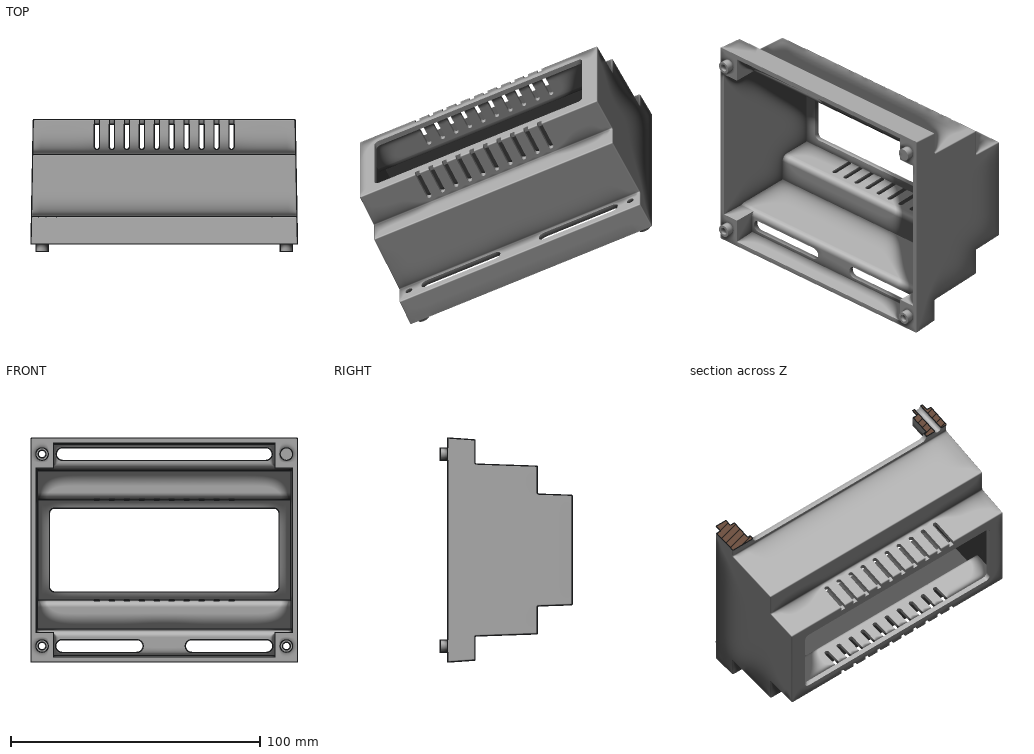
import cadquery as cq
import math

rim_length = 107.0
rim_height = 90.0
wall = 2.0

flange_depth = 11.0
shoulder_depth = 36.0
body_depth = 50.0

flange_half_height = rim_height / 2
shoulder_half_height = 34.55
crown_half_height = 22.5
flange_taper = 4.0
step_taper = 2.0
end_taper = 1.05

edge_radius = 0.5
inner_step_radius = edge_radius + wall

window_length = 92.0
window_height = 33.5
window_radius = 2.0

slot_z = 38.5
slot_width = 5.0
long_slot_length = 86.5
short_slot_length = 35.0
short_slot_x = 26.0

block_inner_x = 44.5
block_inner_z = 33.0
post_x = 49.0
post_z = slot_z
post_diameter = 5.0
post_height = 3.0
post_hole_diameter = 3.0

vent_count = 10
vent_pitch = 6.0
vent_width = 2.0
vent_end_depth = 38.0


def narrowing(taper, length):
    """Amount a wall moves inwards over a length at a given taper."""
    return length * math.tan(math.radians(taper))


def stepped_body(inset):
    """Tapered, stepped solid whose faces are moved inwards by inset."""
    flange_y = flange_depth - inset
    shoulder_y = shoulder_depth - inset
    back_y = body_depth - inset
    flange_z = flange_half_height - inset
    shoulder_z = shoulder_half_height - inset
    crown_z = crown_half_height - inset
    upper_outline = [
        (0, flange_z),
        (flange_y, flange_z - narrowing(flange_taper, flange_y)),
        (flange_y, shoulder_z),
        (shoulder_y, shoulder_z - narrowing(step_taper, shoulder_y - flange_y)),
        (shoulder_y, crown_z),
        (back_y, crown_z - narrowing(step_taper, back_y - shoulder_y)),
    ]
    lower_outline = [(y, -z) for y, z in reversed(upper_outline)]
    steps = (
        cq.Workplane("YZ")
        .polyline(upper_outline + lower_outline)
        .close()
        .extrude(rim_length / 2, both=True)
    )
    rim_x = rim_length / 2 - inset
    back_x = rim_x - narrowing(end_taper, back_y)
    ends = (
        cq.Workplane("XY")
        .polyline([(-rim_x, 0), (rim_x, 0), (back_x, back_y), (-back_x, back_y)])
        .close()
        .extrude(rim_height / 2, both=True)
    )
    return steps.intersect(ends)


def edges_near(body, y, z):
    """Lengthwise edges of body at depth y and at heights +z and -z."""
    reach = edge_radius / 2

    def box_around(height):
        low_corner = (-rim_length, y - reach, height - reach)
        high_corner = (rim_length, y + reach, height + reach)
        return cq.selectors.BoxSelector(low_corner, high_corner)

    return body.edges("|X").edges(box_around(z) + box_around(-z))


def make_outer():
    outer = stepped_body(0)
    return outer.edges("not(<Y)").fillet(edge_radius)


def make_cavity():
    cavity = stepped_body(wall)
    cavity = edges_near(cavity, flange_depth - wall, shoulder_half_height - wall).fillet(inner_step_radius)
    return edges_near(cavity, shoulder_depth - wall, crown_half_height - wall).fillet(inner_step_radius)


def corner_blocks():
    """Material kept solid in the four corners of the flange."""
    size_x = rim_length / 2 - block_inner_x
    size_z = rim_height / 2 - block_inner_z
    blocks = cq.Workplane("XY")
    for side_x in (-1, 1):
        for side_z in (-1, 1):
            center_x = side_x * (block_inner_x + size_x / 2)
            center_z = side_z * (block_inner_z + size_z / 2)
            block = cq.Workplane("XY").box(size_x, flange_depth, size_z)
            blocks = blocks.add(block.translate((center_x, flange_depth / 2, center_z)))
    return blocks.combine()


def along_depth(x, z):
    """Workplane on the rim plane; negative extrusions run into the body, positive ones stand out of it."""
    return cq.Workplane("XZ", origin=(x, 0, z))


def flange_slot(x, z, length):
    return along_depth(x, z).slot2D(length, slot_width).extrude(-flange_depth)


def window():
    return (
        along_depth(0, 0)
        .rect(window_length, window_height)
        .extrude(-body_depth)
        .edges("|Y")
        .fillet(window_radius)
    )


def vent(x, side_z):
    """Round-ended notch, one wall deep, open at the back edge of a crown wall."""
    floor_z = crown_half_height - wall - narrowing(step_taper, body_depth - shoulder_depth)
    height = crown_half_height - floor_z
    center_z = side_z * (floor_z + height / 2)
    end_center_y = vent_end_depth + vent_width / 2
    length = body_depth - end_center_y
    straight = cq.Workplane("XY").box(vent_width, length, height)
    straight = straight.translate((x, end_center_y + length / 2, center_z))
    end = cq.Workplane("XY").circle(vent_width / 2).extrude(height / 2, both=True)
    return straight.union(end.translate((x, end_center_y, center_z)))


def add_posts(body):
    """Rim posts; the one at +X, +Z is solid and the other three are drilled through the corner."""
    hole_length = post_height + flange_depth
    for x in (-post_x, post_x):
        for z in (-post_z, post_z):
            body = body.union(along_depth(x, z).circle(post_diameter / 2).extrude(post_height))
            if x < 0 or z < 0:
                hole = along_depth(x, z).circle(post_hole_diameter / 2).extrude(hole_length, both=True)
                body = body.cut(hole)
    return body


cavity = make_cavity().cut(corner_blocks())
result = make_outer().cut(cavity).cut(window())

result = result.cut(flange_slot(0, slot_z, long_slot_length))
for x in (-short_slot_x, short_slot_x):
    result = result.cut(flange_slot(x, -slot_z, short_slot_length))

for index in range(vent_count):
    vent_x = (index - (vent_count - 1) / 2) * vent_pitch
    for side_z in (-1, 1):
        result = result.cut(vent(vent_x, side_z))

result = add_posts(result)